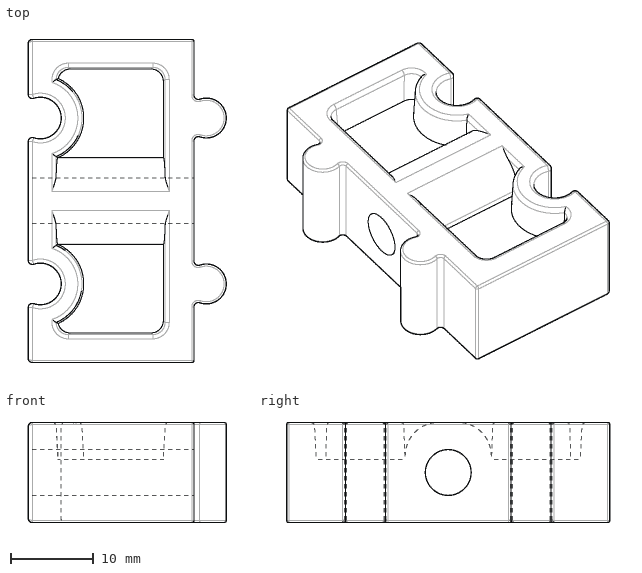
import cadquery as cq
import math

body_x = 20.0
body_y = 39.0
body_z = 12.1

connector_pitch = 20.0
connector_inset = 1.5
socket_radius = 2.5
knob_radius = 2.4
neck_round = 0.5

socket_side_round = 0.5
plain_side_round = 0.27

pocket_x_min = 3.35
pocket_x_max = 16.55
pocket_y = 32.3
pocket_corner_radius = 1.5
pocket_depth = 4.5
draft_angle = 3.0
rim_round = 0.5
socket_wall = 2.5

rib_land = 2.35
rib_round = 4.0
hole_diameter = 5.5

socket_x = connector_inset
knob_x = body_x + connector_inset
connector_ys = (-connector_pitch / 2, connector_pitch / 2)
socket_side_x_max = socket_x + socket_radius
pocket_x = pocket_x_max - pocket_x_min
pocket_center_x = (pocket_x_min + pocket_x_max) / 2
floor_z = body_z - pocket_depth
draft = math.radians(draft_angle)
margin = 0.05


def in_box(x_min, x_max, y_size=body_y, z_min=0.0):
    """Select items centred in a box that is symmetric in Y and reaches up to the top face."""
    return cq.selectors.BoxSelector(
        (x_min - margin, -y_size / 2 - margin, z_min - margin),
        (x_max + margin, y_size / 2 + margin, body_z + margin),
    )


def upright_cylinder(x, y, radius):
    return cq.Workplane("XY").center(x, y).circle(radius).extrude(body_z)


def make_body():
    """Block with sockets and knobs, all outer edges rounded."""
    body = cq.Workplane("XY").box(body_x, body_y, body_z, centered=(False, True, False))
    for y in connector_ys:
        body = body.cut(upright_cylinder(socket_x, y, socket_radius))
        body = body.union(upright_cylinder(knob_x, y, knob_radius))

    neck_zone_y = connector_pitch + 2 * knob_radius
    body = body.edges("|Z").edges(in_box(body_x, body_x, neck_zone_y)).fillet(neck_round)

    body = body.edges(in_box(0, socket_side_x_max)).fillet(socket_side_round)

    body = body.edges("|Z").edges(in_box(body_x, body_x)).edges("<Y or >Y").fillet(plain_side_round)
    plain_side = in_box(socket_side_x_max, knob_x + knob_radius)
    return body.faces("<Z or >Z").edges(plain_side).fillet(plain_side_round)


def make_pocket():
    """Solid to remove: a tapered block, less the round walls around the sockets."""
    pocket = (
        cq.Workplane("XY", origin=(pocket_center_x, 0, body_z))
        .rect(pocket_x, pocket_y)
        .extrude(-pocket_depth, taper=draft_angle)
        .edges("not #Z")
        .fillet(pocket_corner_radius)
    )
    wall_foot_radius = socket_radius + socket_wall + pocket_depth * math.tan(draft)
    for y in connector_ys:
        wall = (
            cq.Workplane("XY", origin=(socket_x, y, floor_z))
            .circle(wall_foot_radius)
            .extrude(pocket_depth, taper=draft_angle)
        )
        pocket = pocket.cut(wall)
    return pocket


def make_rib():
    """Flat-topped rib with rounded shoulders that run tangentially into drafted sides."""
    land_half = rib_land / 2
    shoulder_y = land_half + rib_round * math.cos(draft)
    shoulder_z = body_z - rib_round + rib_round * math.sin(draft)
    foot_y = shoulder_y + (shoulder_z - floor_z) * math.tan(draft)
    end_overlap = 2 * rim_round
    return (
        cq.Workplane("YZ", origin=(pocket_x_min - end_overlap, 0, 0))
        .moveTo(-land_half, body_z)
        .lineTo(land_half, body_z)
        .radiusArc((shoulder_y, shoulder_z), rib_round)
        .lineTo(foot_y, floor_z)
        .lineTo(-foot_y, floor_z)
        .lineTo(-shoulder_y, shoulder_z)
        .radiusArc((-land_half, body_z), rib_round)
        .close()
        .extrude(pocket_x + 2 * end_overlap)
    )


def make_hole():
    return cq.Workplane("YZ").center(0, body_z / 2).circle(hole_diameter / 2).extrude(body_x)


pocketed = make_body().cut(make_pocket())
rim = in_box(pocket_x_min, pocket_x_max, pocket_y, z_min=body_z)
pocketed = pocketed.faces(">Z").edges(rim).fillet(rim_round)

result = pocketed.union(make_rib()).cut(make_hole())